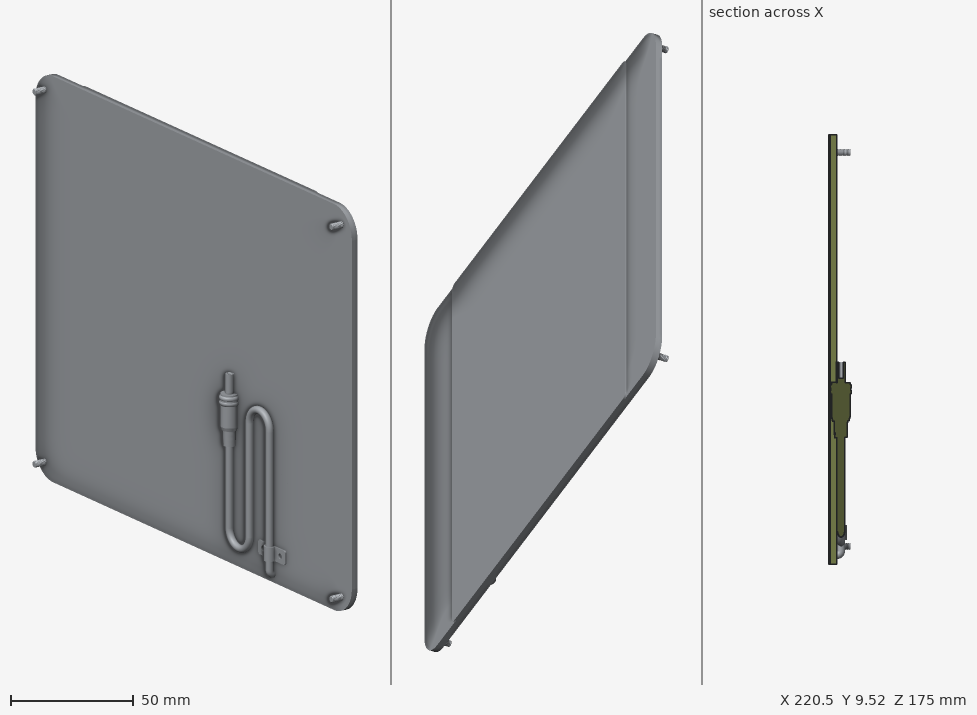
import cadquery as cq
import math


PANEL_WIDTH = 220.5
PANEL_HEIGHT = 175.0
PANEL_THICKNESS = 2.9
PANEL_CORNER_RADIUS = 12.3
SHEET_WIDTH = 165.0
SHEET_HEIGHT = PANEL_HEIGHT
SHEET_THICKNESS = 0.7
SHEET_CORNER_RADIUS = 2.2

STUD_X = 103.5
STUD_Z = 80.3
STUD_DIAMETER = 2.9
STUD_ROOT_DIAMETER = 2.5
STUD_LENGTH = 5.5
THREAD_COUNT = 10
THREAD_PITCH = STUD_LENGTH / THREAD_COUNT

CABLE_DIAMETER = 3.3
CABLE_RADIUS = CABLE_DIAMETER / 2
CABLE_Y = -CABLE_RADIUS
PLUG_X = 27.3
LAST_RUN_X = 55.3
MIDDLE_RUN_X = (PLUG_X + LAST_RUN_X) / 2
TURN_RADIUS = (LAST_RUN_X - MIDDLE_RUN_X) / 2
LOWER_TURN_Z = -71.5
UPPER_TURN_Z = -22.0
ELBOW_RADIUS = 1.8
ELBOW_Z = -82.0

PIN_RADIUS = 3.5 / 2
BORE_RADIUS = 1.5 / 2
BORE_MOUTH_RADIUS = 2.1 / 2
BORE_CHAMFER = BORE_MOUTH_RADIUS - BORE_RADIUS
BORE_DEPTH = 6.6
GRIP_RADIUS = 7.5 / 2
GRIP_END_RADIUS = 6.6 / 2
SLEEVE_TOP_RADIUS = 5.5 / 2
SLEEVE_END_RADIUS = 5.0 / 2
BEAD_RADIUS = 8.5 / 2
GROOVE_RADIUS = 8.2 / 2
BEAD_HEIGHT = 1.8
BEAD_GAP = 0.7
PIN_TOP_Z = -5.0
GRIP_TOP_Z = -13.5
UPPER_BEAD_Z = -14.1
LOWER_BEAD_Z = UPPER_BEAD_Z - BEAD_HEIGHT - BEAD_GAP
GRIP_CHAMFER_Z = -27.5
GRIP_END_Z = -29.0
SLEEVE_END_Z = -36.0

CLIP_WIDTH = 18.5
CLIP_HEIGHT = 6.2
CLIP_Z = LOWER_TURN_Z - CLIP_HEIGHT / 2
CLIP_THICKNESS = 0.77
CLIP_OUTER_RADIUS = CABLE_RADIUS + CLIP_THICKNESS
CLIP_CORNER_RADIUS = 0.9
CLIP_HOLE_DIAMETER = 2.5
CLIP_HOLE_OFFSET = 6.0


def upright_sheet(width, height, thickness, corner_radius, front_y):
    """Flat rectangle in XZ with rounded corners, going back from front_y."""
    return (
        cq.Workplane("XZ", origin=(0, front_y, 0))
        .rect(width, height)
        .extrude(-thickness)
        .edges("|Y")
        .fillet(corner_radius)
    )


def make_stud(x, z):
    """Stud standing on the panel front, with a ring-grooved thread."""
    crest = STUD_DIAMETER / 2
    root = STUD_ROOT_DIAMETER / 2
    profile = cq.Workplane("XY").moveTo(0, 0).lineTo(root, 0)
    for turn in range(THREAD_COUNT):
        start = -turn * THREAD_PITCH
        profile = profile.lineTo(crest, start - THREAD_PITCH / 2).lineTo(root, start - THREAD_PITCH)
    stud = profile.lineTo(0, -STUD_LENGTH).close().revolve(360, (0, 0, 0), (0, 1, 0))
    return stud.translate((x, 0, z))


def make_cable():
    """Cable from the plug sleeve through both U-turns and the elbow to the back of the panel."""
    elbow_centre_y = CABLE_Y + ELBOW_RADIUS
    bend_offset = ELBOW_RADIUS * math.sqrt(0.5)
    start = cq.Vector(PLUG_X, CABLE_Y, SLEEVE_END_Z)
    lower_in = cq.Vector(PLUG_X, CABLE_Y, LOWER_TURN_Z)
    lower_mid = cq.Vector(PLUG_X + TURN_RADIUS, CABLE_Y, LOWER_TURN_Z - TURN_RADIUS)
    lower_out = cq.Vector(MIDDLE_RUN_X, CABLE_Y, LOWER_TURN_Z)
    upper_in = cq.Vector(MIDDLE_RUN_X, CABLE_Y, UPPER_TURN_Z)
    upper_mid = cq.Vector(MIDDLE_RUN_X + TURN_RADIUS, CABLE_Y, UPPER_TURN_Z + TURN_RADIUS)
    upper_out = cq.Vector(LAST_RUN_X, CABLE_Y, UPPER_TURN_Z)
    elbow_in = cq.Vector(LAST_RUN_X, CABLE_Y, ELBOW_Z)
    elbow_mid = cq.Vector(LAST_RUN_X, elbow_centre_y - bend_offset, ELBOW_Z - bend_offset)
    elbow_out = cq.Vector(LAST_RUN_X, elbow_centre_y, ELBOW_Z - ELBOW_RADIUS)
    end = cq.Vector(LAST_RUN_X, PANEL_THICKNESS, ELBOW_Z - ELBOW_RADIUS)
    path = cq.Wire.assembleEdges(
        [
            cq.Edge.makeLine(start, lower_in),
            cq.Edge.makeThreePointArc(lower_in, lower_mid, lower_out),
            cq.Edge.makeLine(lower_out, upper_in),
            cq.Edge.makeThreePointArc(upper_in, upper_mid, upper_out),
            cq.Edge.makeLine(upper_out, elbow_in),
            cq.Edge.makeThreePointArc(elbow_in, elbow_mid, elbow_out),
            cq.Edge.makeLine(elbow_out, end),
        ]
    )
    return cq.Workplane("XY", origin=start.toTuple()).circle(CABLE_RADIUS).sweep(path)


def make_plug():
    """Turned plug: bored pin, grip with two rounded beads, tapered sleeve."""
    bore_floor_z = PIN_TOP_Z - BORE_DEPTH
    groove_top_z = UPPER_BEAD_Z - BEAD_HEIGHT
    bead_end_z = LOWER_BEAD_Z - BEAD_HEIGHT
    plug = (
        cq.Workplane("XZ")
        .moveTo(0, bore_floor_z)
        .lineTo(BORE_RADIUS, bore_floor_z)
        .lineTo(BORE_RADIUS, PIN_TOP_Z - BORE_CHAMFER)
        .lineTo(BORE_MOUTH_RADIUS, PIN_TOP_Z)
        .lineTo(PIN_RADIUS, PIN_TOP_Z)
        .lineTo(PIN_RADIUS, GRIP_TOP_Z)
        .lineTo(GRIP_RADIUS, GRIP_TOP_Z)
        .lineTo(GRIP_RADIUS, UPPER_BEAD_Z)
        .threePointArc((BEAD_RADIUS, UPPER_BEAD_Z - BEAD_HEIGHT / 2), (GROOVE_RADIUS, groove_top_z))
        .lineTo(GROOVE_RADIUS, LOWER_BEAD_Z)
        .threePointArc((BEAD_RADIUS, LOWER_BEAD_Z - BEAD_HEIGHT / 2), (GRIP_RADIUS, bead_end_z))
        .lineTo(GRIP_RADIUS, GRIP_CHAMFER_Z)
        .lineTo(GRIP_END_RADIUS, GRIP_END_Z)
        .lineTo(SLEEVE_TOP_RADIUS, GRIP_END_Z)
        .lineTo(SLEEVE_END_RADIUS, SLEEVE_END_Z)
        .lineTo(0, SLEEVE_END_Z)
        .close()
        .revolve(360, (0, 0, 0), (0, 1, 0))
    )
    return plug.translate((PLUG_X, CABLE_Y, 0))


def make_arch(radius):
    """Round-topped block as tall as the clip, centred on the cable and flat on the panel."""
    return (
        cq.Workplane("XY", origin=(0, 0, -CLIP_HEIGHT / 2))
        .moveTo(-radius, 0)
        .lineTo(-radius, CABLE_Y)
        .threePointArc((0, CABLE_Y - radius), (radius, CABLE_Y))
        .lineTo(radius, 0)
        .close()
        .extrude(CLIP_HEIGHT)
    )


def make_clip():
    """Saddle clip: two drilled tabs on the panel and an arch over the last cable run."""
    tabs = (
        upright_sheet(CLIP_WIDTH, CLIP_HEIGHT, CLIP_THICKNESS, CLIP_CORNER_RADIUS, -CLIP_THICKNESS)
        .faces("<Y")
        .workplane(origin=(0, 0, 0))
        .pushPoints([(-CLIP_HOLE_OFFSET, 0), (CLIP_HOLE_OFFSET, 0)])
        .hole(CLIP_HOLE_DIAMETER)
    )
    arch = make_arch(CLIP_OUTER_RADIUS)
    channel = make_arch(CABLE_RADIUS)
    return tabs.union(arch).cut(channel).translate((LAST_RUN_X, 0, CLIP_Z))


lead = make_cable().union(make_plug())

panel = upright_sheet(PANEL_WIDTH, PANEL_HEIGHT, PANEL_THICKNESS, PANEL_CORNER_RADIUS, 0).cut(lead)
backing_sheet = upright_sheet(
    SHEET_WIDTH, SHEET_HEIGHT, SHEET_THICKNESS, SHEET_CORNER_RADIUS, PANEL_THICKNESS
)
clip = make_clip()
studs = [make_stud(x, z) for x in (-STUD_X, STUD_X) for z in (-STUD_Z, STUD_Z)]

result = cq.Compound.makeCompound(
    [panel.val(), backing_sheet.val(), lead.val(), clip.val(), *[stud.val() for stud in studs]]
)